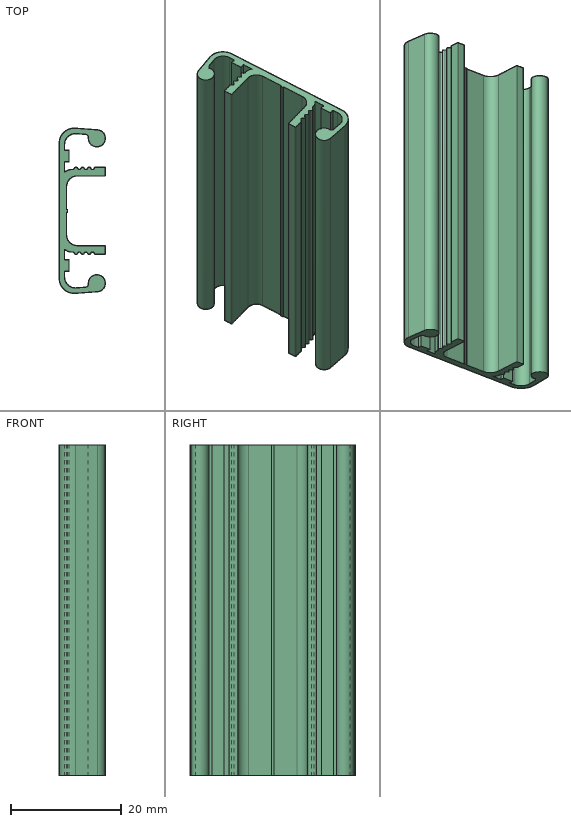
import cadquery as cq
import math

depth = 8.4
width = 30.0
length = 60.0
half_width = width / 2

wall = 1.0
corner_radius = 2.75
inner_radius = 1.9
bulb_radius = 1.55
bulb_y = 13.15
bulb_fillet = 0.55

web = 1.4
ridge_height = 0.2
ridge_width = 0.55

pad_x = 1.8
pad_inner_y = 8.9
pad_outer_y = 11.0

finger_inner_y = 6.3
finger_outer_y = 7.9
finger_fillet = 1.9
tip_fillet = 0.1
root_radius = 1.9
root_end_x = 2.3
tooth_height = 0.4
tooth_pitch = 1.2
tooth_count = 3
tooth_start_x = 2.45


def point_on_circle(center, radius, degrees):
    """Point at the given angle, measured anticlockwise from +X."""
    angle = math.radians(degrees)
    return (center[0] + radius * math.cos(angle), center[1] + radius * math.sin(angle))


def add_teeth(outline, valley_y):
    """Extend the outline with a wave of tangent arcs, ending on the flat at the finger tip."""
    middle_y = (valley_y + finger_outer_y) / 2
    first_crossing_x = tooth_start_x + tooth_pitch / 4
    crossing_count = 2 * tooth_count + 1
    outline = outline.lineTo(tooth_start_x, valley_y)
    for i in range(crossing_count):
        outline = outline.tangentArcPoint((first_crossing_x + i * tooth_pitch / 2, middle_y), relative=False)
    flat_start_x = tooth_start_x + crossing_count * tooth_pitch / 2
    return outline.tangentArcPoint((flat_start_x, finger_outer_y), relative=False)


corner_center = (corner_radius, half_width - corner_radius)
bulb_center = (depth - bulb_radius, bulb_y)
center_dx = bulb_center[0] - corner_center[0]
center_dy = bulb_center[1] - corner_center[1]
radius_drop = corner_radius - bulb_radius
center_angle = math.degrees(math.atan2(center_dy, center_dx))
tangent_angle = center_angle + math.degrees(math.acos(radius_drop / math.hypot(center_dx, center_dy)))

bulb_meet_angle = tangent_angle + math.degrees(math.acos((bulb_radius - wall) / bulb_radius))
bulb_meet = point_on_circle(bulb_center, bulb_radius, bulb_meet_angle)

tangent_slope = math.radians(tangent_angle)
inner_center_x = wall + inner_radius
inner_center_y = corner_center[1] + (
    corner_radius - wall - inner_radius - (inner_center_x - corner_center[0]) * math.cos(tangent_slope)
) / math.sin(tangent_slope)
inner_center = (inner_center_x, inner_center_y)


def half_profile():
    """Cross-section on the +Y side of the centreline."""
    corner_middle = (tangent_angle + 180) / 2
    bulb_sweep_middle = (tangent_angle + bulb_meet_angle - 360) / 2

    valley_y = finger_outer_y - tooth_height
    root_center = (root_end_x, valley_y - root_radius)
    root_wall_angle = math.degrees(math.acos((wall - root_end_x) / root_radius))
    root_middle = (root_wall_angle + 90) / 2

    fillet_center = (web + finger_fillet, finger_inner_y - finger_fillet)

    outline = (
        cq.Workplane("XY")
        .moveTo(0, 0)
        .lineTo(0, corner_center[1])
        .threePointArc(
            point_on_circle(corner_center, corner_radius, corner_middle),
            point_on_circle(corner_center, corner_radius, tangent_angle),
        )
        .lineTo(*point_on_circle(bulb_center, bulb_radius, tangent_angle))
        .threePointArc(
            point_on_circle(bulb_center, bulb_radius, bulb_sweep_middle),
            bulb_meet,
        )
        .lineTo(*point_on_circle(inner_center, inner_radius, tangent_angle))
        .threePointArc(
            point_on_circle(inner_center, inner_radius, corner_middle),
            (wall, inner_center[1]),
        )
        .lineTo(wall, pad_outer_y)
        .lineTo(pad_x, pad_outer_y)
        .lineTo(pad_x, pad_inner_y)
        .lineTo(wall, pad_inner_y)
        .lineTo(*point_on_circle(root_center, root_radius, root_wall_angle))
        .threePointArc(
            point_on_circle(root_center, root_radius, root_middle),
            (root_end_x, valley_y),
        )
    )
    outline = add_teeth(outline, valley_y)
    return (
        outline
        .lineTo(depth, finger_outer_y)
        .lineTo(depth, finger_inner_y)
        .lineTo(fillet_center[0], finger_inner_y)
        .threePointArc(
            point_on_circle(fillet_center, finger_fillet, 135),
            (web, fillet_center[1]),
        )
        .lineTo(web, ridge_width / 2)
        .lineTo(web + ridge_height, ridge_width / 2)
        .lineTo(web + ridge_height, 0)
        .close()
    )


half_body = half_profile().extrude(length)

bulb_corner = cq.selectors.NearestToPointSelector((bulb_meet[0], bulb_meet[1], length / 2))
half_body = half_body.edges("|Z").edges(bulb_corner).fillet(bulb_fillet)
half_body = half_body.edges("|Z").edges(">X").fillet(tip_fillet)

result = half_body.union(half_body.mirror("XZ")).clean()